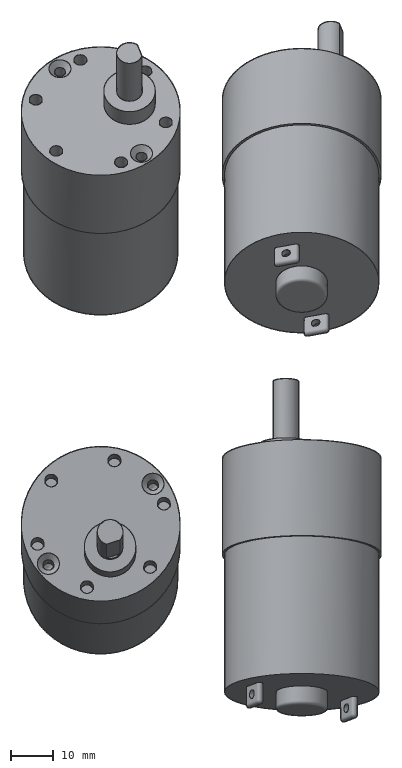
import cadquery as cq
import math

motor_diameter = 36.0
motor_length = 33.0
rear_boss_diameter = 12.0
rear_boss_length = 4.4
rear_boss_fillet = 0.7

gearbox_diameter = 37.0
gearbox_length = 23.0
front_boss_diameter = rear_boss_diameter
front_boss_length = 5.0
shaft_diameter = 6.0
shaft_length = 15.0
shaft_offset = 7.05
flat_depth = 0.5
flat_start = 1.0

hole_circle_radius = 15.5
mounting_hole_diameter = 3.0
mounting_hole_depth = 4.05
mounting_hole_count = 6
screw_hole_diameter = 2.5
screw_hole_depth = 4.9
screw_hole_count = 2
screw_hole_angle = 20.0
countersink_diameter = 5.1
countersink_angle = 90.0
drill_tip_angle = 118.0

terminal_edge_radius = 0.75
terminal_thickness = 2 * terminal_edge_radius
terminal_width = 6.0
terminal_length = 5.0
terminal_spacing = 25.8
terminal_hole_diameter = 2.0
terminal_hole_drop = 2.3

motor_rear = -motor_length
front_face = gearbox_length
boss_face = front_face + front_boss_length


def cylinder(diameter, height, base, y=0):
    """Upright cylinder with its base at height `base`."""
    return cq.Workplane("XY", origin=(0, y, base)).circle(diameter / 2).extrude(height)


def circle_points(count, start_angle):
    """Evenly spaced points on the hole circle."""
    angles = [math.radians(start_angle + 360 * i / count) for i in range(count)]
    return [(hole_circle_radius * math.cos(a), hole_circle_radius * math.sin(a)) for a in angles]


def make_motor():
    can = cylinder(motor_diameter, motor_length, motor_rear)
    rear_boss = cylinder(rear_boss_diameter, rear_boss_length, motor_rear - rear_boss_length)
    rear_boss = rear_boss.faces("<Z").edges().fillet(rear_boss_fillet)
    return can.union(rear_boss)


def make_shaft():
    """Output shaft with a flat on its +Y side."""
    shaft = cylinder(shaft_diameter, shaft_length, boss_face, shaft_offset)
    flat_y = shaft_offset + shaft_diameter / 2 - flat_depth
    flat_cut = cq.Workplane("XY").box(
        shaft_diameter, shaft_diameter, shaft_length - flat_start, centered=(True, False, False)
    )
    return shaft.cut(flat_cut.translate((0, flat_y, boss_face + flat_start)))


def screw_hole_cutter():
    """Countersunk blind hole with a conical drill tip, opening at Z = 0."""
    hole_radius = screw_hole_diameter / 2
    countersink_radius = countersink_diameter / 2
    countersink_depth = (countersink_radius - hole_radius) / math.tan(math.radians(countersink_angle / 2))
    tip_depth = hole_radius / math.tan(math.radians(drill_tip_angle / 2))
    profile = cq.Workplane("XZ").polyline([
        (0, 0),
        (countersink_radius, 0),
        (hole_radius, -countersink_depth),
        (hole_radius, -screw_hole_depth),
        (0, -screw_hole_depth - tip_depth),
    ]).close()
    return profile.revolve(360, (0, 0, 0), (0, 1, 0))


def make_gearbox():
    """Gearbox housing with its front boss and output shaft."""
    gearbox = cylinder(gearbox_diameter, gearbox_length, 0)
    gearbox = gearbox.union(cylinder(front_boss_diameter, front_boss_length, front_face, shaft_offset))
    gearbox = gearbox.union(make_shaft())

    mounting_holes = (
        cq.Workplane("XY", origin=(0, 0, front_face))
        .pushPoints(circle_points(mounting_hole_count, 0))
        .circle(mounting_hole_diameter / 2)
        .extrude(-mounting_hole_depth)
    )
    gearbox = gearbox.cut(mounting_holes)

    for x, y in circle_points(screw_hole_count, screw_hole_angle):
        gearbox = gearbox.cut(screw_hole_cutter().translate((x, y, front_face)))
    return gearbox


def make_terminal(x):
    """Flat terminal with a cross hole; its sides, tip and two tip corners are fully rounded."""
    straight_width = terminal_width - terminal_thickness
    straight_length = terminal_length - terminal_edge_radius
    tip_center = motor_rear - straight_length

    blade = (
        cq.Workplane("XY", origin=(x, 0, tip_center))
        .slot2D(terminal_width, terminal_thickness, 90)
        .extrude(straight_length)
    )
    tip = (
        cq.Workplane("XZ", origin=(x, straight_width / 2, tip_center))
        .circle(terminal_edge_radius)
        .extrude(straight_width)
    )
    blade = blade.union(tip)
    for side in (-1, 1):
        corner = cq.Workplane("XY").sphere(terminal_edge_radius)
        blade = blade.union(corner.translate((x, side * straight_width / 2, tip_center)))

    hole = (
        cq.Workplane("YZ", origin=(x, 0, motor_rear - terminal_hole_drop))
        .circle(terminal_hole_diameter / 2)
        .extrude(terminal_edge_radius, both=True)
    )
    return blade.cut(hole)


motor = make_motor()
gearbox = make_gearbox()
terminals = [make_terminal(side * terminal_spacing / 2) for side in (-1, 1)]

result = cq.Compound.makeCompound([
    motor.val(),
    gearbox.val(),
    *[terminal.val() for terminal in terminals],
])